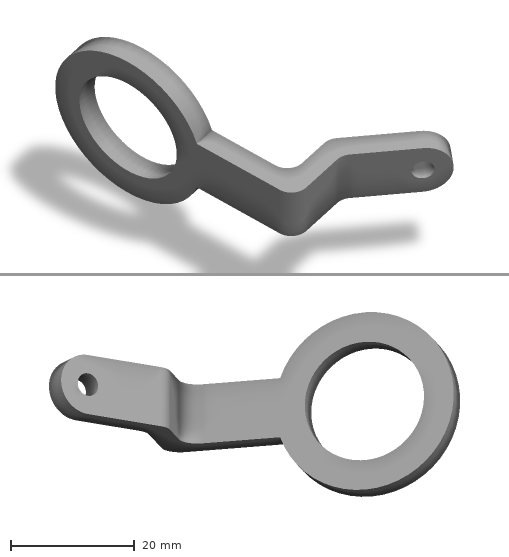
import cadquery as cq
import math

total_length = 62.1
total_depth = 28.15

ring_diameter = 30.0
bore_diameter = 20.0

thickness = 4.0
strap_width = 10.0
upright_x = 34.2
bend_radius = 3.1
tip_angle = math.radians(45)
hole_diameter = 3.8

cos_tip = math.cos(tip_angle)
sin_tip = math.sin(tip_angle)
tip_end_x = total_length - ring_diameter / 2
leaf_length = (tip_end_x - upright_x) / cos_tip
outer_bend_y = total_depth - leaf_length * sin_tip - thickness * cos_tip
inner_bend_y = outer_bend_y + thickness * math.tan(tip_angle / 2)
inner_x = upright_x - thickness

tip_radius = strap_width / 2
straight_length = leaf_length - tip_radius
outer_tip = (upright_x + straight_length * cos_tip, outer_bend_y + straight_length * sin_tip)
inner_tip = (outer_tip[0] - thickness * sin_tip, outer_tip[1] + thickness * cos_tip)


def make_strap():
    """Z-bent strip starting at the ring centre and ending at the tip centre."""
    strip = (
        cq.Workplane("XY")
        .polyline([
            (0, 0), (upright_x, 0), (upright_x, outer_bend_y), outer_tip,
            inner_tip, (inner_x, inner_bend_y), (inner_x, thickness), (0, thickness),
        ])
        .close()
        .extrude(strap_width / 2, both=True)
    )
    bend_corners = [
        (upright_x, 0), (upright_x, outer_bend_y),
        (inner_x, inner_bend_y), (inner_x, thickness),
    ]
    for x, y in bend_corners:
        strip = strip.edges(cq.selectors.NearestToPointSelector((x, y, 0))).fillet(bend_radius)
    return strip


def through_disc(face_point, normal, diameter):
    """Disc of strap thickness standing on a face, along its normal."""
    plane = cq.Plane(origin=(*face_point, 0), xDir=(0, 0, 1), normal=normal)
    return cq.Workplane(plane).circle(diameter / 2).extrude(thickness)


leaf_normal = (-sin_tip, cos_tip, 0)
plate_normal = (0, 1, 0)

ring = through_disc((0, 0), plate_normal, ring_diameter)
bore = through_disc((0, 0), plate_normal, bore_diameter)
tip_round = through_disc(outer_tip, leaf_normal, strap_width)
tip_hole = through_disc(outer_tip, leaf_normal, hole_diameter)

result = make_strap().union(ring).union(tip_round).cut(bore).cut(tip_hole)